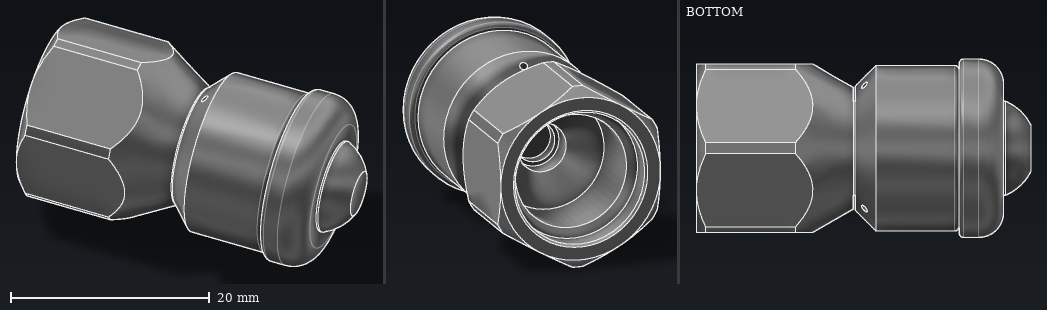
import cadquery as cq
import math

across_flats = 17.0
hex_corner_radius = 9.5
mouth_chamfer_length = 0.95
hex_length = 9.98
back_cone_angle = 30.0
back_cone_end_radius = 6.15
taper_slope = math.tan(math.radians(back_cone_angle))
inlet_end = hex_length + (hex_corner_radius - back_cone_end_radius) / taper_slope

neck_radius = 4.75
neck_length = 0.17

body_start = inlet_end + neck_length
body_radius = 8.35
body_cone_end = 18.1
body_cone_start_radius = body_radius - (body_cone_end - body_start)
body_edge_radius = 0.47

collar_start = 26.45
collar_end = 30.95
collar_radius = 9.0
collar_rear_round = 0.45
collar_front_round = 2.53

nose_radius = 4.75
nose_start = 31.15
tip_radius = 2.33
total_length = 33.7

bore_mouth_radius = 7.15
counterbore_radius = 6.89
counterbore_depth = 2.45
bore_radius = 5.915
bore_depth = 9.98
bore_cone_half_angle = 60.0
passage_radius = 2.545
passage_depth = 14.15
blind_hole_radius = 2.105
blind_hole_depth = 15.5

jet_count = 3
jet_diameter = 0.8
jet_depth = 2.7
jet_x = 16.92
jet_start_angle = 2.0
jet_tilt = 45.0


def make_outer_body():
    """Revolve the outside profile about the X axis."""
    nose_center = (
        (total_length**2 + tip_radius**2 - nose_start**2 - nose_radius**2)
        / (2 * (total_length - nose_start))
    )
    sphere_radius = math.hypot(nose_start - nose_center, nose_radius)
    nose_mid_x = (nose_start + total_length) / 2
    nose_mid_radius = math.sqrt(sphere_radius**2 - (nose_mid_x - nose_center) ** 2)

    profile = (
        cq.Workplane("XY")
        .lineTo(0, across_flats / 2)
        .lineTo(mouth_chamfer_length, hex_corner_radius)
        .lineTo(hex_length, hex_corner_radius)
        .lineTo(inlet_end, back_cone_end_radius)
        .lineTo(inlet_end, neck_radius)
        .lineTo(body_start, neck_radius)
        .lineTo(body_start, body_cone_start_radius)
        .lineTo(body_cone_end, body_radius)
        .lineTo(collar_start - body_edge_radius, body_radius)
        .tangentArcPoint((collar_start, body_radius - body_edge_radius), relative=False)
        .lineTo(collar_start, collar_radius - collar_rear_round)
        .tangentArcPoint((collar_start + collar_rear_round, collar_radius), relative=False)
        .lineTo(collar_end - collar_front_round, collar_radius)
        .tangentArcPoint((collar_end, collar_radius - collar_front_round), relative=False)
        .lineTo(collar_end, nose_radius)
        .lineTo(nose_start, nose_radius)
        .threePointArc((nose_mid_x, nose_mid_radius), (total_length, tip_radius))
        .lineTo(total_length, 0)
        .close()
    )
    return profile.revolve(360, (0, 0, 0), (1, 0, 0))


def cut_hex_flats(body):
    """Remove everything outside the hexagon along the inlet."""
    circumscribed_diameter = across_flats / math.cos(math.pi / 6)
    hexagon = (
        cq.Workplane("YZ")
        .transformed(rotate=(0, 0, 90))
        .polygon(6, circumscribed_diameter)
        .extrude(inlet_end)
    )
    surround = cq.Workplane("YZ").circle(2 * hex_corner_radius).extrude(inlet_end)
    return body.cut(surround.cut(hexagon))


def make_bore():
    """Revolve the stepped inlet passage; both shoulders share one cone angle."""
    shoulder_slope = math.tan(math.radians(bore_cone_half_angle))
    shoulder_end = counterbore_depth + (counterbore_radius - bore_radius) / shoulder_slope
    bore_cone_end = bore_depth + (bore_radius - passage_radius) / shoulder_slope
    profile = (
        cq.Workplane("XY")
        .lineTo(0, bore_mouth_radius)
        .lineTo(bore_mouth_radius - counterbore_radius, counterbore_radius)
        .lineTo(counterbore_depth, counterbore_radius)
        .lineTo(shoulder_end, bore_radius)
        .lineTo(bore_depth, bore_radius)
        .lineTo(bore_cone_end, passage_radius)
        .lineTo(passage_depth, passage_radius)
        .lineTo(passage_depth, blind_hole_radius)
        .lineTo(blind_hole_depth, blind_hole_radius)
        .lineTo(blind_hole_depth, 0)
        .close()
    )
    return profile.revolve(360, (0, 0, 0), (1, 0, 0))


def cut_jets(body):
    """Drill equally spaced rear-facing jets into the body cone."""
    tilt = math.radians(jet_tilt)
    cone_radius = body_radius - (body_cone_end - jet_x)
    inward = cq.Vector(math.sin(tilt), 0, -math.cos(tilt))
    start = cq.Vector(jet_x, 0, cone_radius) - inward * jet_diameter
    drill = cq.Workplane(
        cq.Solid.makeCylinder(jet_diameter / 2, jet_depth + jet_diameter, start, inward)
    )
    for index in range(jet_count):
        angle = -jet_start_angle + index * 360 / jet_count
        body = body.cut(drill.rotate((0, 0, 0), (1, 0, 0), angle))
    return body


outer_body = make_outer_body()
hexed_body = cut_hex_flats(outer_body)
bored_body = hexed_body.cut(make_bore())
result = cut_jets(bored_body)